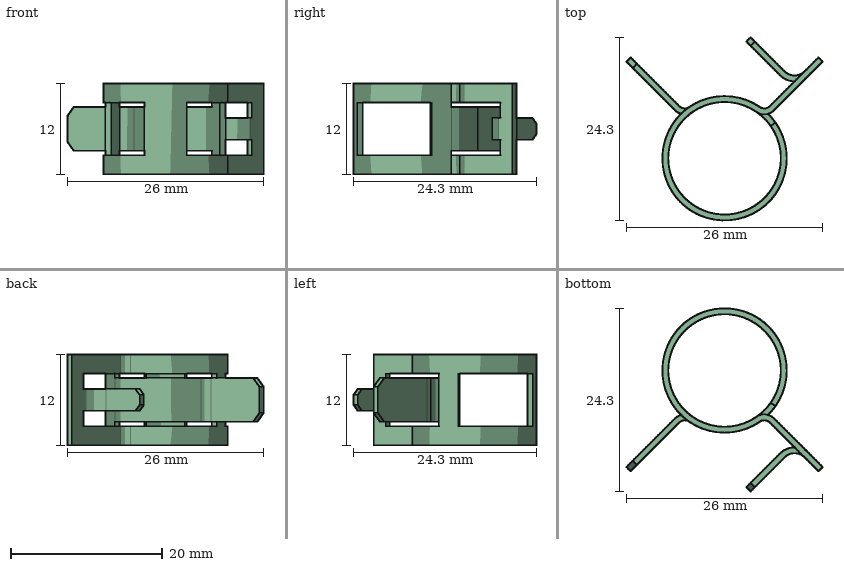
import cadquery as cq
import math


thickness = 0.8
strip_height = 12.0
window_height = 6.92
tongue_height = 5.82
stop_tab_height = 2.95

outer_radius = 8.25
inner_radius = outer_radius - thickness
wide_end_angle = 35
back_window_end_angle = 145
side_window_angles = [(165, 250), (290, 375)]

arm_angle = 45
arm_reach = 18.23
arm_outer_face = -0.15
arm_inner_face = arm_outer_face + thickness
arm_bend_radius = 1.05
arm_window_reach = 15.96
tongue_chamfer = 1.2

stop_tab_face = 13.75
stop_tab_reach = 8.9
stop_tab_bend_radius = 1.87
stop_tab_chamfer = 0.8

bend_center_offset = arm_inner_face + arm_bend_radius
bend_center_distance = outer_radius + arm_bend_radius
bend_center_along = math.sqrt(bend_center_distance**2 - bend_center_offset**2)
bend_start_angle = math.degrees(math.asin(bend_center_offset / bend_center_distance))
wide_bend_angle = arm_angle + bend_start_angle
tongue_bend_angle = 180 - wide_bend_angle


def polar(radius, angle, center=(0, 0)):
    """Point at a radius and an angle in degrees about a centre."""
    turn = math.radians(angle)
    return (center[0] + radius * math.cos(turn), center[1] + radius * math.sin(turn))


def extrude_centered(outline, height):
    return outline.close().extrude(height / 2, both=True)


def ring_sector(start, end, height, inner=inner_radius, outer=outer_radius):
    """Piece of a ring between two angles, centred in height."""
    middle = (start + end) / 2
    outline = (
        cq.Workplane("XY")
        .moveTo(*polar(inner, start))
        .lineTo(*polar(outer, start))
        .threePointArc(polar(outer, middle), polar(outer, end))
        .lineTo(*polar(inner, end))
        .threePointArc(polar(inner, middle), polar(inner, start))
    )
    return extrude_centered(outline, height)


def window_sector(start, end):
    """Cutter for a window through the ring wall."""
    return ring_sector(start, end, window_height, inner_radius - thickness, outer_radius + thickness)


def arm(height):
    """Bend leaving the ring and the straight arm after it, in the arm frame."""
    center = (bend_center_along, bend_center_offset)
    middle = (bend_start_angle + 180 + 270) / 2
    convex_radius = arm_bend_radius + thickness
    outline = (
        cq.Workplane("XY")
        .moveTo(*polar(outer_radius, bend_start_angle))
        .threePointArc(polar(arm_bend_radius, middle, center), (bend_center_along, arm_inner_face))
        .lineTo(arm_reach, arm_inner_face)
        .lineTo(arm_reach, arm_outer_face)
        .lineTo(bend_center_along, arm_outer_face)
        .threePointArc(polar(convex_radius, middle, center), polar(inner_radius, bend_start_angle))
    )
    return extrude_centered(outline, height)


def stop_tab():
    """Tab curling from the outer end of the arm window, in the arm frame."""
    center = (stop_tab_face + stop_tab_bend_radius, arm_inner_face + stop_tab_bend_radius)
    convex_radius = stop_tab_bend_radius + thickness
    back_face = stop_tab_face - thickness
    outline = (
        cq.Workplane("XY")
        .moveTo(arm_window_reach, arm_inner_face)
        .lineTo(center[0], arm_inner_face)
        .threePointArc(polar(stop_tab_bend_radius, 225, center), (stop_tab_face, center[1]))
        .lineTo(stop_tab_face, stop_tab_reach)
        .lineTo(back_face, stop_tab_reach)
        .lineTo(back_face, center[1])
        .threePointArc(polar(convex_radius, 225, center), (center[0], arm_outer_face))
        .lineTo(arm_window_reach, arm_outer_face)
    )
    tab = extrude_centered(outline, stop_tab_height)
    return tab.faces(">Y").edges("|X").chamfer(stop_tab_chamfer)


def turn_to_arm(body):
    """Move a body from the arm frame to its place on the part."""
    return body.rotate((0, 0, 0), (0, 0, 1), arm_angle)


def wide_end():
    """Full-height ring and arm with their windows, and the stop tab."""
    body = ring_sector(wide_bend_angle, 360 + wide_end_angle, strip_height)
    body = body.union(turn_to_arm(arm(strip_height)))

    body = body.cut(window_sector(arm_angle, back_window_end_angle))
    arm_window = cq.Workplane("XY").box(
        arm_window_reach, 2 * thickness, window_height, centered=(False, True, True)
    )
    body = body.cut(turn_to_arm(arm_window))

    for start, end in side_window_angles:
        body = body.cut(window_sector(start, end))
    return body.union(turn_to_arm(stop_tab()))


def tongue():
    """Narrow end: along the ring, then out through the back window as the second arm."""
    tip = arm(tongue_height).faces(">X").edges("|Y").chamfer(tongue_chamfer)
    along_ring = ring_sector(wide_end_angle, tongue_bend_angle, tongue_height)
    return along_ring.union(turn_to_arm(tip).mirror("YZ"))


result = wide_end().union(tongue())